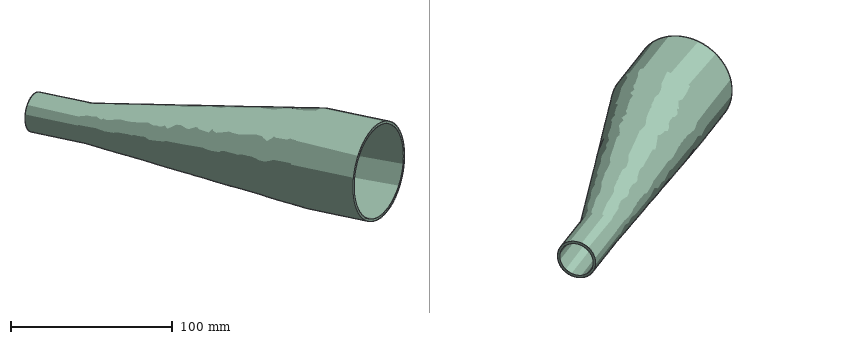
import cadquery as cq

total_length = 235.0
small_end_length = 38.0
large_end_length = 44.5
small_outer_diameter = 25.4
large_outer_diameter = 63.5
wall = 1.6

cone_length = total_length - small_end_length - large_end_length
cone_end = small_end_length + cone_length
axis_offset = (large_outer_diameter - small_outer_diameter) / 2


def reducer_body(small_diameter, large_diameter):
    """Solid with a straight small end, an offset cone and a straight large end."""
    small_end = (
        cq.Workplane("YZ")
        .center(-axis_offset, 0)
        .circle(small_diameter / 2)
        .extrude(small_end_length)
    )
    cone = (
        cq.Workplane("YZ", origin=(small_end_length, 0, 0))
        .center(-axis_offset, 0)
        .circle(small_diameter / 2)
        .workplane(offset=cone_length)
        .center(axis_offset, 0)
        .circle(large_diameter / 2)
        .loft(ruled=True)
    )
    large_end = (
        cq.Workplane("YZ", origin=(cone_end, 0, 0))
        .circle(large_diameter / 2)
        .extrude(large_end_length)
    )
    return small_end.union(cone).union(large_end)


outside = reducer_body(small_outer_diameter, large_outer_diameter)
bore = reducer_body(small_outer_diameter - 2 * wall, large_outer_diameter - 2 * wall)

result = outside.cut(bore)